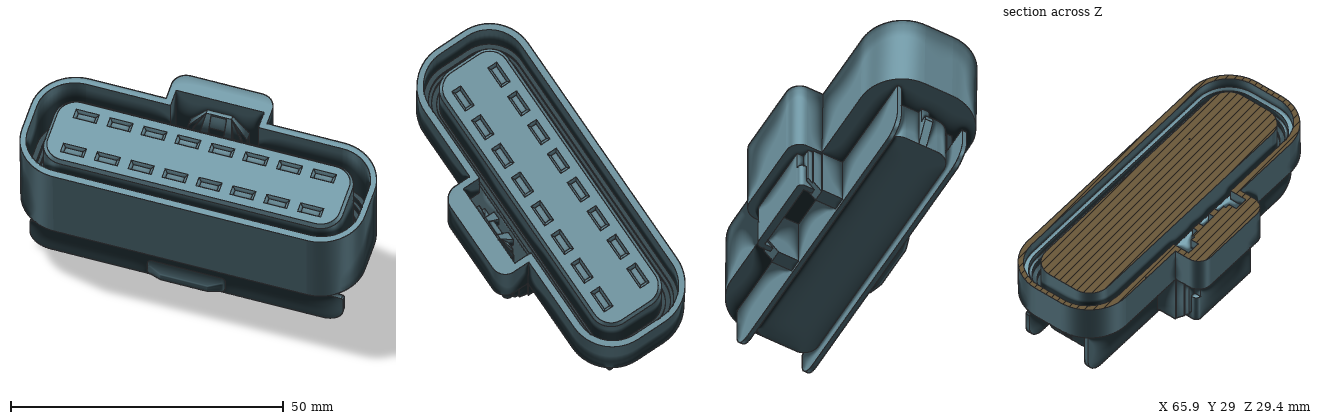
import cadquery as cq

TOTAL_HEIGHT = 29.4

SHELL_LENGTH = 65.85
SHELL_DEPTH = 22.9
SHELL_RADIUS = 8.55
SHELL_BOTTOM = 11.85
MOUTH_Y = -0.1
BOTTOM_Y = 0.05
SHELL_TAPER = 0.2
END_WALL = 1.1
SIDE_WALL = 1.3

MOUTH_FLOOR = 17.1
MID_FLOOR = 15.8
LOW_FLOOR = 14.5
MID_INSET = 2.1
LOW_INSET = 2.7
GROOVE_INSET = 3.6
GROOVE_FLOOR = 13.5

ISLAND_LENGTH = 57.15
ISLAND_DEPTH = 14.5
ISLAND_RADIUS = 4.2
ISLAND_TOP = 28.1
ISLAND_CHAMFER = 0.6

SLOT_COLUMNS = 8
SLOT_SPAN = 45.5
SLOT_PITCH = SLOT_SPAN / (SLOT_COLUMNS - 1)
ROW_PITCH = 8.0
SLOT_LENGTH = 4.4
SLOT_WIDTH = 2.0
SLOT_FLOOR_LENGTH = 3.35
SLOT_FLOOR_WIDTH = 1.1
SLOT_DEPTH = 0.6

TOWER_WIDTH = 19.35
TOWER_BACK = 17.45
TOWER_RADIUS = 2.8
POCKET_WIDTH = 16.85
POCKET_BACK = 13.6

BOSS_TOP = 25.7
BOSS_SHOULDER = 21.5
BOSS_TOP_LENGTH = 4.9
BOSS_TOP_FRONT = 12.8
BOSS_STEPS = ((11.3, 11.9), (9.35, 11.4), (6.3, 10.35))
RECESS_DROP = 0.45
WINDOW_LENGTH = 2.95
WINDOW_BACK = 11.5

CORE_LENGTH = 52.95
CORE_DEPTH = 12.65
CORE_RADIUS = 3.0
CORE_BOTTOM = 2.45
SKIRT_LENGTH = 60.05
SKIRT_RADIUS = 3.95
SKIRT_THICKNESS = 0.85
FRONT_SKIRT_Y = -7.45
REAR_SKIRT_Y = 7.1
NOTCH_HEIGHT = 7.45
NOTCH_INNER_LENGTH = 49.25
NOTCH_CHAMFER = 0.3

RIB_FRONT = -1.0
RIB_BACK = 0.6
RIB_REACH = 1.0
RIB_TOE_REACH = 2.45
RIB_TOE_TOP = 8.1
RIB_TOE_BOTTOM = 7.2

CATCH_BASE_LENGTH = 15.0
CATCH_FACE_LENGTH = 9.1
CATCH_REACH = 1.6
CATCH_ROOT = 0.65
CATCH_BOTTOM = 0.8
CATCH_TOP = 4.35
CATCH_FACE_TOP = 2.65
CATCH_ROUND = 0.8

BRACKET_BACK = 15.4
BRACKET_INNER = 9.9
BRACKET_BOTTOM = 1.85
BRACKET_STEP = 7.7
BRACKET_WIDTH = 16.45
BRACKET_UPPER_WIDTH = 14.5
BRACKET_THICKNESS = 1.4
BRACKET_RADIUS = 1.05
CHEEK_BOTTOM = 0.85
CHEEK_BEND = 11.3
CHEEK_STEP = 13.1
CHEEK_WIDTH = 19.1
CHEEK_SETBACK = 0.3
CHEEK_THICKNESS = 1.0


def box(x_min, x_max, y_min, y_max, z_min, z_max):
    size = (x_max - x_min, y_max - y_min, z_max - z_min)
    return cq.Workplane("XY").box(*size, centered=False).translate((x_min, y_min, z_min))


def rounded_block(length, depth, radius, z_min, z_max):
    block = box(-length / 2, length / 2, -depth / 2, depth / 2, z_min, z_max)
    return block.edges("|Z").fillet(radius)


def inset_block(inset, z_min, z_max):
    """Rounded block set in from the shell mouth by the same amount all round."""
    length = SHELL_LENGTH - 2 * inset
    depth = SHELL_DEPTH - 2 * inset
    return rounded_block(length, depth, SHELL_RADIUS - inset, z_min, z_max).translate((0, MOUTH_Y, 0))


def frustum(base, top, z_min, z_max):
    """Block between two rectangles, each given as (length, y_min, y_max)."""
    sections = []
    for (length, y_min, y_max), z in ((base, z_min), (top, z_max)):
        corners = [(-length / 2, y_min), (length / 2, y_min), (length / 2, y_max), (-length / 2, y_max)]
        sections.append(cq.Wire.makePolygon([cq.Vector(x, y, z) for x, y in corners], close=True))
    return cq.Workplane(cq.Solid.makeLoft(sections, True))


def make_shell():
    bottom = cq.Sketch().rect(SHELL_LENGTH - SHELL_TAPER, SHELL_DEPTH).vertices().fillet(SHELL_RADIUS)
    mouth = cq.Sketch().rect(SHELL_LENGTH, SHELL_DEPTH).vertices().fillet(SHELL_RADIUS)
    bottom_place = cq.Location(cq.Vector(0, BOTTOM_Y, SHELL_BOTTOM))
    mouth_place = cq.Location(cq.Vector(0, MOUTH_Y, TOTAL_HEIGHT))
    body = cq.Workplane("XY").placeSketch(bottom.moved(bottom_place), mouth.moved(mouth_place)).loft()
    tower = box(-TOWER_WIDTH / 2, TOWER_WIDTH / 2, 0, TOWER_BACK, SHELL_BOTTOM, TOTAL_HEIGHT)
    tower = tower.edges("|Z and >Y").fillet(TOWER_RADIUS)
    return body.union(tower)


def make_cavity():
    mouth_length = SHELL_LENGTH - 2 * END_WALL
    mouth_depth = SHELL_DEPTH - 2 * SIDE_WALL
    mouth_radius = SHELL_RADIUS - SIDE_WALL
    cavity = rounded_block(mouth_length, mouth_depth, mouth_radius, MOUTH_FLOOR, TOTAL_HEIGHT)
    cavity = cavity.translate((0, MOUTH_Y, 0))
    pocket = box(-POCKET_WIDTH / 2, POCKET_WIDTH / 2, 0, POCKET_BACK, MOUTH_FLOOR, TOTAL_HEIGHT)
    cavity = cavity.union(pocket)
    steps = (
        (MID_INSET, MID_FLOOR, MOUTH_FLOOR),
        (LOW_INSET, LOW_FLOOR, MID_FLOOR),
        (GROOVE_INSET, GROOVE_FLOOR, LOW_FLOOR),
    )
    for inset, floor, top in steps:
        cavity = cavity.union(inset_block(inset, floor, top))
    return cavity


def make_island():
    island = rounded_block(ISLAND_LENGTH, ISLAND_DEPTH, ISLAND_RADIUS, GROOVE_FLOOR, ISLAND_TOP)
    island = island.faces(">Z").edges().chamfer(ISLAND_CHAMFER)
    floor = (SLOT_FLOOR_LENGTH, -SLOT_FLOOR_WIDTH / 2, SLOT_FLOOR_WIDTH / 2)
    mouth = (SLOT_LENGTH, -SLOT_WIDTH / 2, SLOT_WIDTH / 2)
    slot = frustum(floor, mouth, ISLAND_TOP - SLOT_DEPTH, ISLAND_TOP)
    for column in range(SLOT_COLUMNS):
        x = column * SLOT_PITCH - SLOT_SPAN / 2
        for y in (-ROW_PITCH / 2, ROW_PITCH / 2):
            island = island.cut(slot.translate((x, y, 0)))
    return island


def make_boss():
    """Locking boss: steps that taper to one ridge, with a recess and a window down the middle."""
    top = (BOSS_TOP_LENGTH, BOSS_TOP_FRONT, POCKET_BACK)
    boss = cq.Workplane("XY")
    for length, front in BOSS_STEPS:
        base = box(-length / 2, length / 2, front, POCKET_BACK, MOUTH_FLOOR, BOSS_SHOULDER)
        taper = frustum((length, front, POCKET_BACK), top, BOSS_SHOULDER, BOSS_TOP)
        boss = boss.union(base).union(taper)

    front = BOSS_STEPS[-1][1]
    slope = (BOSS_TOP - BOSS_SHOULDER) / (BOSS_TOP_FRONT - front)
    recess_top = BOSS_TOP - RECESS_DROP
    recess_bottom = recess_top - slope * (BOSS_TOP_FRONT - WINDOW_BACK)
    opening = (
        cq.Workplane("YZ", origin=(-WINDOW_LENGTH / 2, 0, 0))
        .polyline([
            (front, MOUTH_FLOOR), (WINDOW_BACK, MOUTH_FLOOR), (WINDOW_BACK, recess_bottom),
            (BOSS_TOP_FRONT, recess_top), (BOSS_TOP_FRONT, BOSS_TOP), (front, BOSS_TOP),
        ]).close()
        .extrude(WINDOW_LENGTH)
    )
    return boss.cut(opening)


def make_core():
    core = rounded_block(CORE_LENGTH, CORE_DEPTH, CORE_RADIUS, CORE_BOTTOM, SHELL_BOTTOM)
    root = CORE_LENGTH / 2
    ridge = root + RIB_REACH
    toe = root + RIB_TOE_REACH
    rib_profile = [
        (0, SHELL_BOTTOM), (ridge, SHELL_BOTTOM), (ridge, RIB_TOE_TOP),
        (toe, RIB_TOE_TOP), (toe, RIB_TOE_BOTTOM), (root, CORE_BOTTOM), (0, CORE_BOTTOM),
    ]
    rib = (
        cq.Workplane("XZ", origin=(0, RIB_BACK, 0))
        .polyline(rib_profile).close()
        .extrude(RIB_BACK - RIB_FRONT)
    )
    return core.union(rib).union(rib.mirror("YZ"))


def make_skirt(y_min):
    y_max = y_min + SKIRT_THICKNESS
    skirt = box(-SKIRT_LENGTH / 2, SKIRT_LENGTH / 2, y_min, y_max, 0, SHELL_BOTTOM)
    return skirt.edges("|Y and <Z").fillet(SKIRT_RADIUS)


def make_front_skirt():
    y_max = FRONT_SKIRT_Y + SKIRT_THICKNESS
    skirt = make_skirt(FRONT_SKIRT_Y).intersect(
        box(-SKIRT_LENGTH / 2, SKIRT_LENGTH / 2, FRONT_SKIRT_Y, y_max, 0, NOTCH_HEIGHT)
    )
    skirt = skirt.edges("|Y and >Z").chamfer(NOTCH_CHAMFER)
    half = NOTCH_INNER_LENGTH / 2
    neck = box(-half, half, FRONT_SKIRT_Y, -CORE_DEPTH / 2, NOTCH_HEIGHT, SHELL_BOTTOM)
    return skirt.union(neck)


def make_catch():
    face_y = FRONT_SKIRT_Y - CATCH_REACH
    root_y = FRONT_SKIRT_Y - CATCH_ROOT
    base = CATCH_BASE_LENGTH / 2
    face = CATCH_FACE_LENGTH / 2
    side = (
        cq.Workplane("YZ", origin=(-base, 0, 0))
        .polyline([
            (FRONT_SKIRT_Y, CATCH_BOTTOM), (face_y, CATCH_BOTTOM),
            (face_y, CATCH_FACE_TOP), (FRONT_SKIRT_Y, CATCH_TOP),
        ]).close()
        .extrude(CATCH_BASE_LENGTH)
    )
    plan = (
        cq.Workplane("XY")
        .polyline([
            (-base, FRONT_SKIRT_Y), (-base, root_y), (-face, face_y),
            (face, face_y), (base, root_y), (base, FRONT_SKIRT_Y),
        ]).close()
        .extrude(CATCH_TOP)
    )
    catch = side.intersect(plan)
    return catch.edges("not(#Y and >Y)").fillet(CATCH_ROUND)


def make_bracket():
    """Back plate under the tower, carried by two cheeks from the rear skirt."""
    half = BRACKET_WIDTH / 2
    plate = box(-half, half, BRACKET_INNER, BRACKET_BACK, BRACKET_BOTTOM, BRACKET_STEP)
    plate = plate.edges("|Z and >Y").fillet(BRACKET_RADIUS)
    upper = BRACKET_UPPER_WIDTH / 2
    plate_front = BRACKET_BACK - BRACKET_THICKNESS
    plate = plate.union(box(-upper, upper, BRACKET_INNER, BRACKET_BACK, BRACKET_STEP, SHELL_BOTTOM))
    inside = half - CHEEK_THICKNESS
    plate = plate.cut(box(-inside, inside, BRACKET_INNER, plate_front, BRACKET_BOTTOM, SHELL_BOTTOM))

    slope_rise = plate_front - CHEEK_BEND
    cheek_profile = [
        (REAR_SKIRT_Y - SKIRT_THICKNESS, CHEEK_BOTTOM), (CHEEK_BEND, CHEEK_BOTTOM),
        (plate_front, CHEEK_BOTTOM + slope_rise), (plate_front, SHELL_BOTTOM),
        (REAR_SKIRT_Y - SKIRT_THICKNESS, SHELL_BOTTOM),
    ]
    outer = CHEEK_WIDTH / 2
    inner = inside - CHEEK_SETBACK
    cheek = cq.Workplane("YZ", origin=(inner, 0, 0)).polyline(cheek_profile).close().extrude(outer - inner)
    for steps, y in enumerate((CHEEK_BEND, CHEEK_STEP), start=1):
        face = outer - steps * CHEEK_SETBACK
        cheek = cheek.cut(box(face, outer, y, plate_front, 0, SHELL_BOTTOM))
    return plate.union(cheek).union(cheek.mirror("YZ"))


result = make_shell().cut(make_cavity())
for feature in (
    make_island(),
    make_boss(),
    make_core(),
    make_skirt(REAR_SKIRT_Y - SKIRT_THICKNESS),
    make_front_skirt(),
    make_catch(),
    make_bracket(),
):
    result = result.union(feature)